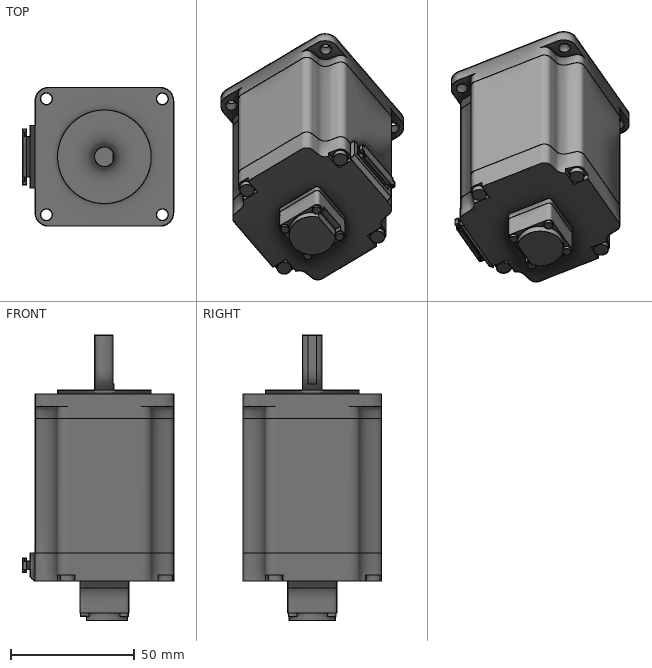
import cadquery as cq
import math


motor_width = 56.4
half_width = motor_width / 2
front_cap_height = 10.1
stator_length = 54.5
rear_cap_height = 11.5

notch_depth = 10.4
notch_wall_tilt = 11.0
notch_outer_radius = 3.2
notch_inner_radius = 4.0

flange_thickness = 5.1
flange_corner_radius = 5.6
mount_hole_pitch = 47.1
mount_hole_diameter = 4.6
pilot_diameter = 38.0
pilot_height = 1.5
shaft_diameter = 8.0
shaft_tip = 23.9
shaft_flat_length = 20.0
shaft_flat_distance = 3.6

pocket_end = 16.2
pocket_depth = 6.5
pocket_height = 2.4
screw_head_radius = 2.9
screw_head_along = 13.2
screw_head_inset = 3.5

pad_width = 25.5
pad_projection = 2.0
pad_chamfer = 1.7
window_width = 21.3
window_bottom = 4.5
window_top = 10.1
connector_height_above_rear = 6.4
connector_projection = 5.0
plug_thickness = 1.5
plug_height = 5.9
face_plate_width = 20.0
face_plate_thickness = 0.7
ear_span = 22.7
ear_height = 3.1
stem_width = 16.5
stem_height = 3.5

encoder_width = 20.0
encoder_corner_radius = 1.6
encoder_base_height = 2.8
encoder_cover_height = 10.2
core_radius = 9.4
core_projection = 3.0
core_flat_distance = 7.3
cable_notch_height = 2.2
cover_screw_pitch = 16.0
cover_screw_radius = 1.7
cover_screw_height = 1.3

stator_top = -front_cap_height
stator_bottom = stator_top - stator_length
rear_face = stator_bottom - rear_cap_height
encoder_joint = rear_face - encoder_base_height
cover_bottom = encoder_joint - encoder_cover_height


def block(x_range, y_size, z_range):
    """Box between two X and two Z values, centred on Y = 0."""
    x_min, x_max = x_range
    z_min, z_max = z_range
    box = cq.Workplane("XY").box(x_max - x_min, y_size, z_max - z_min, centered=(False, True, False))
    return box.translate((x_min, 0, z_min))


def square_corners(pitch):
    """The four corner points of a centred square."""
    return [(x * pitch / 2, y * pitch / 2) for x in (-1, 1) for y in (-1, 1)]


def notched_column(bottom, top):
    """Square column whose corners carry rounded notches."""
    inner_depth = notch_depth / (1 + math.tan(math.radians(notch_wall_tilt)))
    mouth = half_width - notch_depth
    inner = half_width - inner_depth
    corner = [(half_width, mouth), (inner, inner), (mouth, half_width)]
    outline = []
    for quarter in range(4):
        for x, y in corner:
            for _ in range(quarter):
                x, y = -y, x
            outline.append((x, y))

    column = cq.Workplane("XY").workplane(offset=bottom).polyline(outline).close().extrude(top - bottom)

    side_margin = inner_depth / 2

    def is_outer(edge):
        centre = edge.Center()
        return max(abs(centre.x), abs(centre.y)) > half_width - side_margin

    def is_inner(edge):
        return not is_outer(edge)

    column = column.edges("|Z").filter(is_inner).fillet(notch_inner_radius)
    return column.edges("|Z").filter(is_outer).fillet(notch_outer_radius)


def make_shaft():
    """Output shaft with a flat on its +X side."""
    shaft = (
        cq.Workplane("XY")
        .workplane(offset=pilot_height)
        .circle(shaft_diameter / 2)
        .extrude(shaft_tip - pilot_height)
    )
    flat_bottom = shaft_tip - shaft_flat_length
    flat = block((shaft_flat_distance, shaft_diameter), shaft_diameter, (flat_bottom, shaft_tip))
    return shaft.cut(flat)


def make_front_cap():
    """Notched cap under a square flange with a round pilot and four mounting holes."""
    flange = (
        cq.Workplane("XY")
        .rect(motor_width, motor_width)
        .extrude(-flange_thickness)
        .edges("|Z")
        .fillet(flange_corner_radius)
    )
    holes = (
        cq.Workplane("XY")
        .pushPoints(square_corners(mount_hole_pitch))
        .circle(mount_hole_diameter / 2)
        .extrude(-flange_thickness)
    )
    pilot = cq.Workplane("XY").circle(pilot_diameter / 2).extrude(pilot_height)
    return flange.cut(holes).union(notched_column(stator_top, -flange_thickness)).union(pilot)


def make_stator():
    """Plain notched column between the caps."""
    return notched_column(stator_bottom, stator_top)


def cut_screw_pockets(cap):
    """Four pockets, turned in quarter steps, each holding a screw head flush with the rear face."""
    pocket = (
        cq.Workplane("XY")
        .box(pocket_end, pocket_depth, pocket_height, centered=False)
        .translate((-half_width, -half_width, rear_face))
    )
    head = (
        cq.Workplane("XY")
        .workplane(offset=rear_face)
        .center(screw_head_along - half_width, screw_head_inset - half_width)
        .circle(screw_head_radius)
        .extrude(pocket_height)
    )
    recess = pocket.cut(head)
    for quarter in range(4):
        cap = cap.cut(recess.rotate((0, 0, 0), (0, 0, 1), 90 * quarter))
    return cap


def add_connector(cap):
    """Pad on the -X side whose window reaches the motor side, with a plug standing in the window."""
    side = -half_width
    pad_face = side - pad_projection
    pad = block((pad_face, side), pad_width, (rear_face, stator_bottom))
    pad = pad.faces("<X").edges("<Z").chamfer(pad_chamfer)
    window = block((pad_face, side), window_width, (rear_face + window_bottom, rear_face + window_top))

    front = side - connector_projection
    plug_back = front + plug_thickness
    middle = rear_face + connector_height_above_rear

    def plug_part(back, width, height):
        return block((front, back), width, (middle - height / 2, middle + height / 2))

    face_plate = plug_part(front + face_plate_thickness, face_plate_width, plug_height)
    plug_body = plug_part(plug_back, stem_width, plug_height)
    ears = plug_part(plug_back, ear_span, ear_height)
    stem = plug_part(side, stem_width, stem_height)
    plug = face_plate.union(plug_body).union(ears).union(stem)
    return cap.union(pad).cut(window).union(plug)


def make_rear_cap():
    """Notched cap with screw pockets and the connector."""
    return add_connector(cut_screw_pockets(notched_column(rear_face, stator_bottom)))


def encoder_block(bottom, top):
    """Square block with rounded corners on the motor axis."""
    square = block((-encoder_width / 2, encoder_width / 2), encoder_width, (bottom, top))
    return square.edges("|Z").fillet(encoder_corner_radius)


def make_encoder_base():
    """Plate between the rear cap and the encoder cover."""
    return encoder_block(encoder_joint, rear_face)


def make_encoder_cover():
    """Cover with a cable notch on -X, a flat-sided core below it and four screw heads."""
    core_bottom = cover_bottom - core_projection
    core = cq.Workplane("XY").workplane(offset=core_bottom).circle(core_radius).extrude(core_projection)
    heads = (
        cq.Workplane("XY")
        .workplane(offset=cover_bottom)
        .pushPoints(square_corners(cover_screw_pitch))
        .circle(cover_screw_radius)
        .extrude(-cover_screw_height)
    )
    notch_width = 2 * math.sqrt(core_radius**2 - core_flat_distance**2)
    notch_top = cover_bottom + cable_notch_height
    notch = block((-encoder_width / 2, -core_flat_distance), notch_width, (core_bottom, notch_top))
    return encoder_block(cover_bottom, encoder_joint).union(core).cut(notch).union(heads)


shaft = make_shaft()
front_cap = make_front_cap()
stator = make_stator()
rear_cap = make_rear_cap()
encoder_base = make_encoder_base()
encoder_cover = make_encoder_cover()

result = cq.Compound.makeCompound(
    [
        shaft.val(),
        front_cap.val(),
        stator.val(),
        rear_cap.val(),
        encoder_base.val(),
        encoder_cover.val(),
    ]
)